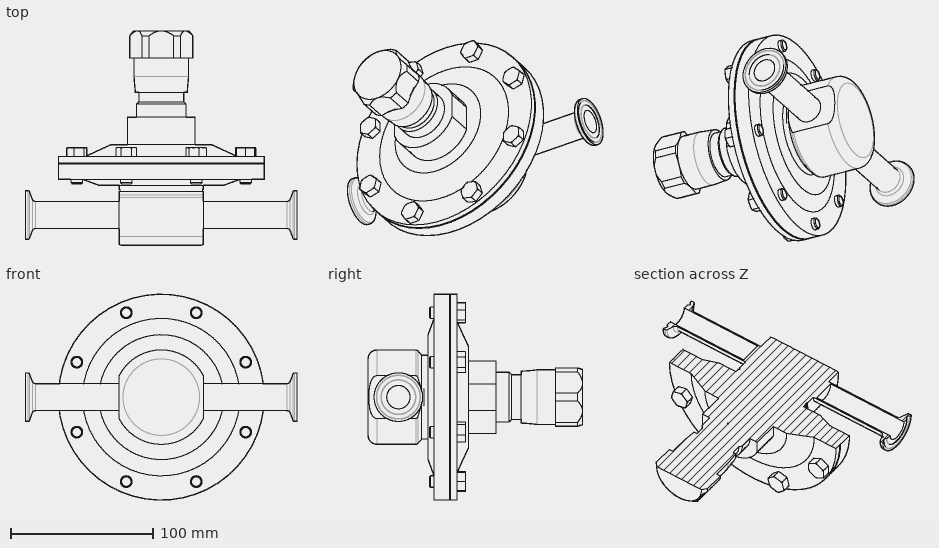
import cadquery as cq
import math


BODY_END_Y = -21.4
BODY_SHOULDER_Y = 12.2
BODY_BEVEL_Y = 14.0
NECK_BAND_Y = 16.5
NECK_FLAT_END_Y = 18.0
LOWER_DOME_Y = 20.8
FLANGE_BOTTOM_Y = 25.0
GASKET_Y = 35.9
GASKET_THICKNESS = 0.8
FLANGE_TOP_Y = 41.2
UPPER_DOME_Y = 49.5
BOSS_TOP_Y = 68.7
SPIGOT_Y = 77.9
SPIGOT_BEVEL_Y = 79.5
STEM_TOP_Y = 86.3
TAPER_TOP_Y = 97.3
KNOB_BOTTOM_Y = 110.3
KNOB_TOP_Y = 129.4

BODY_RADIUS = 33.2
BODY_BEVEL_RADIUS = 32.3
BODY_END_FILLET = 6.3
BODY_FLAT_X = 29.5
NECK_RADIUS = 29.5
NECK_FLAT_X = 29.0

FLANGE_RADIUS = 144.8 / 2
GASKET_INSET = 0.2
LOWER_DOME_RADIUS = 43.9
LOWER_DOME_BASE_RADIUS = 55.3
UPPER_DOME_RADIUS = 35.5
UPPER_DOME_BASE_RADIUS = 53.5

BOSS_RADIUS = 25.5
BOSS_FLAT_X = 23.9
SPIGOT_RADIUS = 17.5
STEM_RADIUS = 15.8
TAPER_SMALL_RADIUS = 18.3
COLLAR_RADIUS = 19.3

KNOB_RADIUS = 22.3
KNOB_CHAMFER_RADIUS = 19.5
KNOB_CHAMFER_HEIGHT = 3.5
SCALLOP_COUNT = 6
SCALLOP_FLOOR = 19.5
LAND_HALF_WIDTH = 2.9

BOLT_COUNT = 8
BOLT_CIRCLE_RADIUS = 128.5 / 2
FIRST_BOLT_ANGLE = 22.5
HEX_TURN = 7.5
HEX_CORNER_DIAMETER = 14.7
HEX_HEIGHT = 6.1
HEX_CHAMFER = 0.48
STUD_RADIUS = 8.2 / 2
STUD_LENGTH = 3.0
STUD_CHAMFER = 0.8

PIPE_END_X = 95.5
PIPE_RADIUS = 9.5
BORE_RADIUS = 8.2
BORE_FLOOR_X = 31.9
RIM_RADIUS = 34.2 / 2
RIM_THICKNESS = 2.7
RIM_BACK_ANGLE = 20
RIM_BACK_FILLET = 2.5
RIM_EDGE_FILLET = 1.1
SEAL_GROOVE_RADIUS = 13.7
SEAL_GROOVE_WIDTH = 3.0
SEAL_GROOVE_DEPTH = 1.1
SEAL_GROOVE_EDGE_FILLET = 0.4

EDGE_TOLERANCE = 0.02


def disc(radius, y_start, y_end):
    """Cylinder about the main axis between two Y stations (the XZ workplane faces -Y)."""
    return cq.Workplane("XZ", origin=(0, y_start, 0)).circle(radius).extrude(y_start - y_end)


def flat_slab(half_x):
    """Tall slab that trims round sections to a pair of flats facing +X and -X."""
    return cq.Workplane("XY").box(2 * half_x, 4 * KNOB_TOP_Y, 4 * FLANGE_RADIUS)


def make_body():
    outline = (
        cq.Workplane("XY")
        .moveTo(0, BODY_END_Y)
        .lineTo(BODY_RADIUS - BODY_END_FILLET, BODY_END_Y)
        .radiusArc((BODY_RADIUS, BODY_END_Y + BODY_END_FILLET), -BODY_END_FILLET)
        .lineTo(BODY_RADIUS, BODY_SHOULDER_Y)
        .tangentArcPoint((BODY_BEVEL_RADIUS, BODY_BEVEL_Y), relative=False)
        .lineTo(NECK_RADIUS, NECK_BAND_Y)
        .lineTo(0, NECK_BAND_Y)
        .close()
    )
    body = outline.revolve(360, (0, 0), (0, 1)).intersect(flat_slab(BODY_FLAT_X))
    flat_band = disc(NECK_RADIUS, NECK_BAND_Y, NECK_FLAT_END_Y).intersect(flat_slab(NECK_FLAT_X))
    round_neck = disc(NECK_RADIUS, NECK_FLAT_END_Y, FLANGE_BOTTOM_Y)
    return body.union(flat_band).union(round_neck)


def make_flange_and_stem():
    gasket_radius = FLANGE_RADIUS - GASKET_INSET
    gasket_top_y = GASKET_Y + GASKET_THICKNESS
    points = [
        (0, LOWER_DOME_Y),
        (LOWER_DOME_RADIUS, LOWER_DOME_Y),
        (LOWER_DOME_BASE_RADIUS, FLANGE_BOTTOM_Y),
        (FLANGE_RADIUS, FLANGE_BOTTOM_Y),
        (FLANGE_RADIUS, GASKET_Y),
        (gasket_radius, GASKET_Y),
        (gasket_radius, gasket_top_y),
        (FLANGE_RADIUS, gasket_top_y),
        (FLANGE_RADIUS, FLANGE_TOP_Y),
        (UPPER_DOME_BASE_RADIUS, FLANGE_TOP_Y),
        (UPPER_DOME_RADIUS, UPPER_DOME_Y),
        (SPIGOT_RADIUS, UPPER_DOME_Y),
        (SPIGOT_RADIUS, SPIGOT_Y),
        (STEM_RADIUS, SPIGOT_BEVEL_Y),
        (STEM_RADIUS, STEM_TOP_Y),
        (TAPER_SMALL_RADIUS, STEM_TOP_Y),
        (COLLAR_RADIUS, TAPER_TOP_Y),
        (COLLAR_RADIUS, KNOB_BOTTOM_Y),
        (0, KNOB_BOTTOM_Y),
    ]
    return cq.Workplane("XY").polyline(points).close().revolve(360, (0, 0), (0, 1))


def make_boss():
    return disc(BOSS_RADIUS, UPPER_DOME_Y, BOSS_TOP_Y).intersect(flat_slab(BOSS_FLAT_X))


def make_knob():
    """Chamfered grip with concave scallops between narrow lands."""
    profile = [
        (0, KNOB_BOTTOM_Y),
        (KNOB_RADIUS, KNOB_BOTTOM_Y),
        (KNOB_RADIUS, KNOB_TOP_Y - KNOB_CHAMFER_HEIGHT),
        (KNOB_CHAMFER_RADIUS, KNOB_TOP_Y),
        (0, KNOB_TOP_Y),
    ]
    knob = cq.Workplane("XY").polyline(profile).close().revolve(360, (0, 0), (0, 1))

    pitch = 360 / SCALLOP_COUNT
    scallop_angle = math.radians(pitch / 2) - math.asin(LAND_HALF_WIDTH / KNOB_RADIUS)
    edge_height = KNOB_RADIUS * math.cos(scallop_angle)
    edge_half_width = KNOB_RADIUS * math.sin(scallop_angle)
    depth = edge_height - SCALLOP_FLOOR
    cutter_radius = (edge_half_width**2 + depth**2) / (2 * depth)
    cutter = (
        cq.Workplane("XZ", origin=(0, KNOB_BOTTOM_Y, 0))
        .center(0, SCALLOP_FLOOR + cutter_radius)
        .circle(cutter_radius)
        .extrude(KNOB_BOTTOM_Y - KNOB_TOP_Y)
    )
    for index in range(SCALLOP_COUNT):
        knob = knob.cut(cutter.rotate((0, 0, 0), (0, 1, 0), index * pitch))
    return knob


def make_bolt():
    """Bolt at the +X end of the bolt circle: hex head on top, stud end below."""
    head_top_y = FLANGE_TOP_Y + HEX_HEIGHT
    head = (
        cq.Workplane("XZ", origin=(0, FLANGE_TOP_Y, 0))
        .polygon(6, HEX_CORNER_DIAMETER)
        .extrude(-HEX_HEIGHT)
        .rotate((0, 0, 0), (0, 1, 0), -HEX_TURN)
    )
    head_envelope = disc(HEX_CORNER_DIAMETER / 2, FLANGE_TOP_Y, head_top_y)
    head_envelope = head_envelope.faces(">Y").chamfer(HEX_CHAMFER)
    stud_end_y = FLANGE_BOTTOM_Y - STUD_LENGTH
    stud = disc(STUD_RADIUS, stud_end_y, FLANGE_TOP_Y).faces("<Y").chamfer(STUD_CHAMFER)
    return head.intersect(head_envelope).union(stud).translate((BOLT_CIRCLE_RADIUS, 0, 0))


def round_edges_at(x, outer_radius):
    """Selector for circles about the pipe axis at one X, up to a given radius."""
    reach = outer_radius + EDGE_TOLERANCE
    return cq.selectors.BoxSelector(
        (x - EDGE_TOLERANCE, -reach, -reach), (x + EDGE_TOLERANCE, reach, reach), boundingbox=True
    )


def make_pipe():
    """Pipe along +X ending in a clamp ferrule with a seal groove in its face."""
    rim_back_x = PIPE_END_X - RIM_THICKNESS
    back_slope = math.tan(math.radians(RIM_BACK_ANGLE))
    cone_foot_x = rim_back_x - (RIM_RADIUS - PIPE_RADIUS) * back_slope
    outline = [
        (0, 0),
        (0, PIPE_RADIUS),
        (cone_foot_x, PIPE_RADIUS),
        (rim_back_x, RIM_RADIUS),
        (PIPE_END_X, RIM_RADIUS),
        (PIPE_END_X, 0),
    ]
    pipe = cq.Workplane("XY").polyline(outline).close().revolve(360, (0, 0), (1, 0))
    pipe = pipe.edges(round_edges_at(cone_foot_x, PIPE_RADIUS)).fillet(RIM_BACK_FILLET)
    pipe = pipe.edges(round_edges_at(rim_back_x, RIM_RADIUS)).fillet(RIM_EDGE_FILLET)

    mouth_radius = SEAL_GROOVE_RADIUS + SEAL_GROOVE_WIDTH / 2
    groove = (
        cq.Workplane("XY")
        .moveTo(PIPE_END_X, mouth_radius - SEAL_GROOVE_WIDTH)
        .threePointArc((PIPE_END_X - SEAL_GROOVE_DEPTH, SEAL_GROOVE_RADIUS), (PIPE_END_X, mouth_radius))
        .close()
        .revolve(360, (0, 0), (1, 0))
    )
    pipe = pipe.cut(groove)
    pipe = pipe.edges(round_edges_at(PIPE_END_X, mouth_radius)).fillet(SEAL_GROOVE_EDGE_FILLET)
    bore = cq.Workplane("YZ", origin=(BORE_FLOOR_X, 0, 0)).circle(BORE_RADIUS).extrude(PIPE_END_X)
    return pipe.cut(bore)


result = make_flange_and_stem().union(make_body()).union(make_boss()).union(make_knob())

bolt = make_bolt()
for index in range(BOLT_COUNT):
    bolt_angle = FIRST_BOLT_ANGLE + index * 360 / BOLT_COUNT
    result = result.union(bolt.rotate((0, 0, 0), (0, 1, 0), -bolt_angle))

pipe = make_pipe()
result = result.union(pipe).union(pipe.mirror("YZ"))